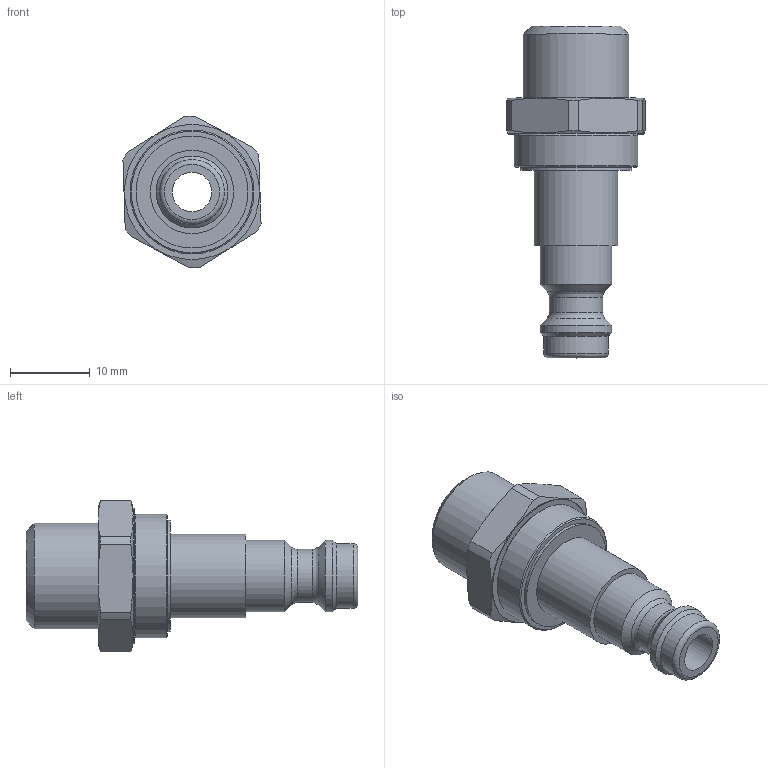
import cadquery as cq
import math


length = 41.5
bore_diameter = 4.95

tip_diameter = 8.1
tip_fillet = 0.6
plug_diameter = 9.0
bead_start = 2.7
bead_width = 1.4
neck_diameter = 6.65
neck_flank_angle = 45.0
neck_fillet = 1.0
neck_groove_end = 9.2
plug_end = 14.05

shank_diameter = 10.4
disc_diameter = 14.0
disc_start = 23.45
collar_diameter = 15.5
collar_start = 23.85
collar_chamfer = 0.15

washer_face_start = 28.0
washer_face_diameter = 16.9
hex_start = 28.1
hex_end = 32.5
hex_across_flats = 17.0
hex_corner_diameter = 19.0
hex_turn = 1.88
hex_face_diameter = 16.9
hex_chamfer_length = 0.3

thread_diameter = 13.16
thread_chamfer = 1.0


def turned_body():
    """Revolve the stepped outer profile about the Y axis."""
    tip_r = tip_diameter / 2
    plug_r = plug_diameter / 2
    neck_r = neck_diameter / 2
    shank_r = shank_diameter / 2
    disc_r = disc_diameter / 2
    collar_r = collar_diameter / 2
    washer_r = washer_face_diameter / 2
    thread_r = thread_diameter / 2
    bead_end = bead_start + bead_width
    bead_chamfer = plug_r - tip_r
    flank_length = (plug_r - neck_r) / math.tan(math.radians(neck_flank_angle))
    profile = (
        cq.Workplane("XY")
        .moveTo(0, 0)
        .lineTo(tip_r, 0)
        .lineTo(tip_r, bead_start)
        .lineTo(plug_r, bead_start + bead_chamfer)
        .lineTo(plug_r, bead_end)
        .lineTo(neck_r, bead_end + flank_length)
        .lineTo(neck_r, neck_groove_end - flank_length)
        .lineTo(plug_r, neck_groove_end)
        .lineTo(plug_r, plug_end)
        .lineTo(shank_r, plug_end)
        .lineTo(shank_r, disc_start)
        .lineTo(disc_r, disc_start)
        .lineTo(disc_r, collar_start)
        .lineTo(collar_r - collar_chamfer, collar_start)
        .lineTo(collar_r, collar_start + collar_chamfer)
        .lineTo(collar_r, washer_face_start - collar_chamfer)
        .lineTo(collar_r - collar_chamfer, washer_face_start)
        .lineTo(washer_r, washer_face_start)
        .lineTo(washer_r, hex_start)
        .lineTo(thread_r, hex_start)
        .lineTo(thread_r, length - thread_chamfer)
        .lineTo(thread_r - thread_chamfer, length)
        .lineTo(0, length)
        .close()
    )
    body = profile.revolve(360, (0, 0, 0), (0, 1, 0))
    body = body.edges(cq.selectors.RadiusNthSelector(0)).fillet(neck_fillet)
    return body.faces("<Y").edges().fillet(tip_fillet)


def hexagon():
    """Hexagon with turned corners and a conical chamfer on both faces."""
    prism = (
        cq.Workplane("XZ")
        .polygon(6, hex_across_flats, circumscribed=True)
        .extrude(-(hex_end - hex_start))
        .rotate((0, 0, 0), (0, 1, 0), -hex_turn)
        .translate((0, hex_start, 0))
    )
    envelope = (
        cq.Workplane("XY")
        .moveTo(0, hex_start)
        .lineTo(hex_face_diameter / 2, hex_start)
        .lineTo(hex_corner_diameter / 2, hex_start + hex_chamfer_length)
        .lineTo(hex_corner_diameter / 2, hex_end - hex_chamfer_length)
        .lineTo(hex_face_diameter / 2, hex_end)
        .lineTo(0, hex_end)
        .close()
        .revolve(360, (0, 0, 0), (0, 1, 0))
    )
    return prism.intersect(envelope)


def bore():
    """Straight through hole along the axis."""
    return cq.Workplane("XZ").circle(bore_diameter / 2).extrude(-length)


result = turned_body().union(hexagon()).cut(bore())